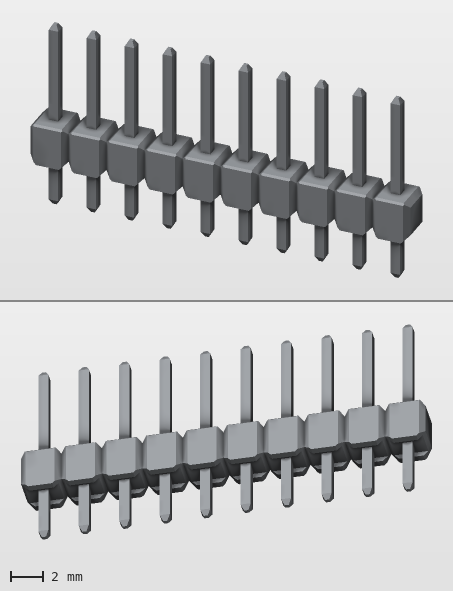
import cadquery as cq

row_length = 25.4
unit_count = 10
pitch = row_length / unit_count

block_depth = pitch
block_height = 2.82
end_chamfer = 0.35
bottom_end_chamfer = 0.5
top_side_chamfer = 0.13
groove_width = 1.63
groove_depth = 0.3

pin_width = 0.64
pin_length = 12.7
pin_below_block = 3.18
tip_height = 0.35
tip_width = 0.25


def make_block():
    """Block centred on the Z axis, bevelled around both ends and along the top, grooved underneath."""
    half_pitch = pitch / 2
    side_profile = (
        cq.Workplane("XZ", origin=(0, block_depth / 2, 0))
        .moveTo(-half_pitch + bottom_end_chamfer, 0)
        .lineTo(half_pitch - bottom_end_chamfer, 0)
        .lineTo(half_pitch, bottom_end_chamfer)
        .lineTo(half_pitch, block_height - end_chamfer)
        .lineTo(half_pitch - end_chamfer, block_height)
        .lineTo(-half_pitch + end_chamfer, block_height)
        .lineTo(-half_pitch, block_height - end_chamfer)
        .lineTo(-half_pitch, bottom_end_chamfer)
        .close()
        .extrude(block_depth)
    )
    plan_outline = (
        cq.Workplane("XY").box(pitch, block_depth, block_height, centered=(True, True, False))
        .edges("|Z").chamfer(end_chamfer)
    )
    end_outline = (
        cq.Workplane("XY").box(pitch, block_depth, block_height, centered=(True, True, False))
        .edges("|X and >Z").chamfer(top_side_chamfer)
    )
    groove = cq.Workplane("XY").box(pitch, groove_width, groove_depth, centered=(True, True, False))
    return side_profile.intersect(plan_outline).intersect(end_outline).cut(groove)


def make_tip(base_z, direction):
    """Tapered pin end that starts at base_z and points up (direction 1) or down (direction -1)."""
    return (
        cq.Workplane("XY", origin=(0, 0, base_z)).rect(pin_width, pin_width)
        .workplane(offset=direction * tip_height).rect(tip_width, tip_width)
        .loft(ruled=True)
    )


def make_pin():
    """Square pin through the block, tapered at both ends."""
    shank_bottom = tip_height - pin_below_block
    shank_length = pin_length - 2 * tip_height
    shank = (
        cq.Workplane("XY", origin=(0, 0, shank_bottom))
        .rect(pin_width, pin_width).extrude(shank_length)
    )
    upper_tip = make_tip(shank_bottom + shank_length, 1)
    lower_tip = make_tip(shank_bottom, -1)
    return shank.union(upper_tip).union(lower_tip)


def make_header_unit(center_x):
    """One block and its pin as a single solid."""
    return make_block().union(make_pin()).translate((center_x, 0, 0))


first_center_x = (pitch - row_length) / 2
header_units = [make_header_unit(first_center_x + index * pitch) for index in range(unit_count)]

result = cq.Compound.makeCompound([unit.val() for unit in header_units])